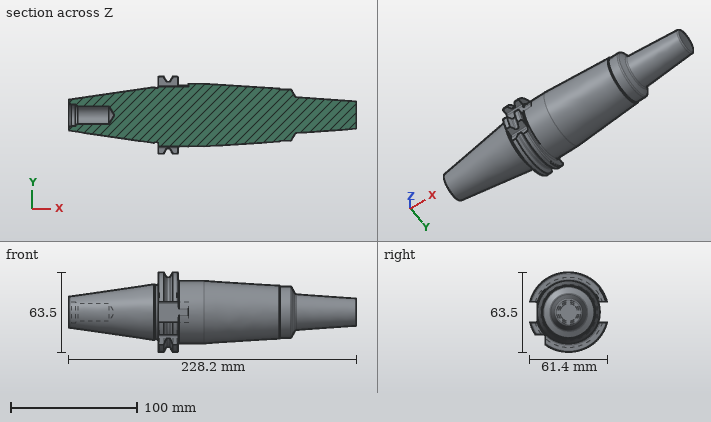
import cadquery as cq
import math

TOTAL_LENGTH = 228.2
EDGE_RADIUS = 1.0

TAPER_RATE = 7 / 24
TAPER_END_X = 67.5
TAPER_LARGE_RADIUS = 44.5 / 2
TAPER_TIP_RADIUS = TAPER_LARGE_RADIUS - TAPER_END_X * TAPER_RATE / 2
TIP_ROUNDING = 1.0
NECK_START_X = 68.7
NECK_RADIUS = 21.7

FLANGE_START_X = 71.0
FLANGE_END_X = 86.7
FLANGE_RADIUS = 63.5 / 2
GROOVE_CENTRE_X = 79.0
GROOVE_ROOT_RADIUS = 27.8
GROOVE_FLOOR_WIDTH = 2.7
GROOVE_FLANK_ANGLE = 30
GROOVE_ROOT_ROUNDING = 1.0

BODY_RADIUS = 50.0 / 2
BODY_CONE_START_X = 107.3
BODY_CONE_END_X = 166.5
BODY_CONE_END_RADIUS = 21.2
LIP_END_X = 167.0
COLLAR_START_X = 167.8
COLLAR_RADIUS = 20.5
COLLAR_END_X = 176.5
COLLAR_ROUNDING = 1.4
NOSE_START_X = 179.9
NOSE_START_RADIUS = 14.4
NOSE_ROOT_ROUNDING = 1.4
NOSE_END_RADIUS = 11.0
NOSE_ROUNDING = 1.1

SLOT_HALF_WIDTH = 16.2 / 2
SLOT_END_X = 95.0
BODY_FLAT_HALF_WIDTH = 2.5
SHALLOW_SLOT_FLOOR = math.sqrt(BODY_RADIUS**2 - BODY_FLAT_HALF_WIDTH**2)
DEEP_SLOT_FLOOR = 22.8

NOTCH_Y = 18.5
NOTCH_Z = 17.8

BORE_MOUTH_RADIUS = 9.5
BORE_GUIDE_RADIUS = 8.5
BORE_GUIDE_DEPTH = 5.2
BORE_SHOULDER_RADIUS = 8.0
BORE_THREAD_RADIUS = 14.0 / 2
BORE_THREAD_DEPTH = 32.0
BORE_CONE_ANGLE = 30
DRILL_POINT_ANGLE = 59


def revolve_about_x(points):
    """Turn a closed (x, radius) outline about the X axis."""
    return cq.Workplane("XY").polyline(points).close().revolve(360, (0, 0, 0), (1, 0, 0))


def round_rings(body, radius, rings):
    """Fillet the circular edges found at the given (x, ring radius) pairs."""
    tolerance = 0.002

    def is_wanted(edge):
        if edge.geomType() != "CIRCLE":
            return False
        x = edge.arcCenter().x
        return any(
            abs(x - ring_x) < tolerance and abs(edge.radius() - ring_radius) < tolerance
            for ring_x, ring_radius in rings
        )

    edges = [edge for edge in body.edges().vals() if is_wanted(edge)]
    return body.newObject(edges).fillet(radius)


def turned_body():
    floor_half = GROOVE_FLOOR_WIDTH / 2
    groove_depth = FLANGE_RADIUS - GROOVE_ROOT_RADIUS
    rim_half = floor_half + groove_depth * math.tan(math.radians(GROOVE_FLANK_ANGLE))
    floor_left = GROOVE_CENTRE_X - floor_half
    floor_right = GROOVE_CENTRE_X + floor_half

    body = revolve_about_x([
        (0, 0),
        (0, TAPER_TIP_RADIUS),
        (TAPER_END_X, TAPER_LARGE_RADIUS),
        (NECK_START_X, NECK_RADIUS),
        (FLANGE_START_X, NECK_RADIUS),
        (FLANGE_START_X, FLANGE_RADIUS),
        (GROOVE_CENTRE_X - rim_half, FLANGE_RADIUS),
        (floor_left, GROOVE_ROOT_RADIUS),
        (floor_right, GROOVE_ROOT_RADIUS),
        (GROOVE_CENTRE_X + rim_half, FLANGE_RADIUS),
        (FLANGE_END_X, FLANGE_RADIUS),
        (FLANGE_END_X, BODY_RADIUS),
        (BODY_CONE_START_X, BODY_RADIUS),
        (BODY_CONE_END_X, BODY_CONE_END_RADIUS),
        (LIP_END_X, BODY_CONE_END_RADIUS),
        (COLLAR_START_X, COLLAR_RADIUS),
        (COLLAR_END_X, COLLAR_RADIUS),
        (NOSE_START_X, NOSE_START_RADIUS),
        (TOTAL_LENGTH, NOSE_END_RADIUS),
        (TOTAL_LENGTH, 0),
    ])
    body = round_rings(body, TIP_ROUNDING, [(0, TAPER_TIP_RADIUS)])
    body = round_rings(body, EDGE_RADIUS, [
        (FLANGE_START_X, NECK_RADIUS),
        (FLANGE_START_X, FLANGE_RADIUS),
        (FLANGE_END_X, FLANGE_RADIUS),
        (FLANGE_END_X, BODY_RADIUS),
    ])
    body = round_rings(body, GROOVE_ROOT_ROUNDING, [
        (floor_left, GROOVE_ROOT_RADIUS),
        (floor_right, GROOVE_ROOT_RADIUS),
    ])
    body = round_rings(body, COLLAR_ROUNDING, [(COLLAR_END_X, COLLAR_RADIUS)])
    body = round_rings(body, NOSE_ROOT_ROUNDING, [(NOSE_START_X, NOSE_START_RADIUS)])
    return round_rings(body, NOSE_ROUNDING, [(TOTAL_LENGTH, NOSE_END_RADIUS)])


def drive_slot(side, floor):
    """Cutter for a drive slot on the +Y (side = 1) or -Y (side = -1) face."""
    start_x = FLANGE_START_X
    length = SLOT_END_X - start_x
    depth = FLANGE_RADIUS - floor
    cutter = cq.Workplane("XY").box(
        length, depth, 2 * SLOT_HALF_WIDTH, centered=(False, True, True)
    )
    floor_face = "<Y" if side > 0 else ">Y"
    cutter = cutter.faces(floor_face).edges("|X").fillet(EDGE_RADIUS)
    return cutter.translate((start_x, side * (floor + depth / 2), 0))


def orientation_notch():
    """Square corner cut running the full width of the flange."""
    size_y = FLANGE_RADIUS - NOTCH_Y
    size_z = FLANGE_RADIUS - NOTCH_Z
    cutter = cq.Workplane("XY").box(
        FLANGE_END_X - FLANGE_START_X, size_y, size_z, centered=False
    )
    cutter = cutter.edges("|X and >Y and >Z").fillet(EDGE_RADIUS)
    return cutter.translate((FLANGE_START_X, -FLANGE_RADIUS, -FLANGE_RADIUS))


def pull_stud_bore():
    cone_slope = math.tan(math.radians(BORE_CONE_ANGLE))
    mouth_depth = (BORE_MOUTH_RADIUS - BORE_GUIDE_RADIUS) / cone_slope
    lead_in_depth = (BORE_SHOULDER_RADIUS - BORE_THREAD_RADIUS) / cone_slope
    point_depth = BORE_THREAD_RADIUS / math.tan(math.radians(DRILL_POINT_ANGLE))
    return revolve_about_x([
        (0, 0),
        (0, BORE_MOUTH_RADIUS),
        (mouth_depth, BORE_GUIDE_RADIUS),
        (BORE_GUIDE_DEPTH, BORE_GUIDE_RADIUS),
        (BORE_GUIDE_DEPTH, BORE_SHOULDER_RADIUS),
        (BORE_GUIDE_DEPTH + lead_in_depth, BORE_THREAD_RADIUS),
        (BORE_THREAD_DEPTH, BORE_THREAD_RADIUS),
        (BORE_THREAD_DEPTH + point_depth, 0),
    ])


result = (
    turned_body()
    .cut(drive_slot(-1, SHALLOW_SLOT_FLOOR))
    .cut(drive_slot(1, DEEP_SLOT_FLOOR))
    .cut(orientation_notch())
    .cut(pull_stud_bore())
)